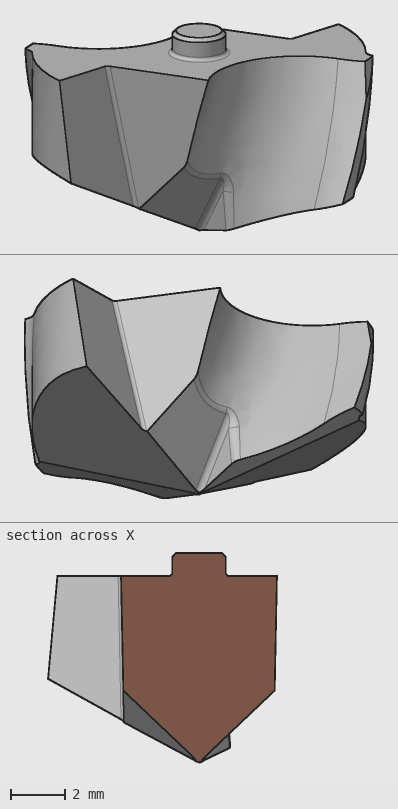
import cadquery as cq
import math

BODY_HEIGHT = 6.91
TWIST_RATE = 5.194
SPAN = 38.7

LAND_RADIUS = 6.18
MARGIN_RADIUS = 6.45
LEADING_ANGLE = 14.7
MARGIN_END_ANGLE = 21.3
LAND_START_ANGLE = 24.8
STEP_POINT = (5.82, 2.4)
FLUTE_RADIUS = 3.4
FLUTE_X = 4.98
FLUTE_Y = -1.94
LIP_POINT = (5.7, 1.51)

PRIMARY_SLOPE = 0.35
PRIMARY_TILT = 0.03
SECONDARY_SLOPE = 0.39
GASH_SLOPE_X = 1.0
GASH_SLOPE_Y = 0.95
GASH_WALL_SLOPE = 0.69
GASH_FILLET = 0.23
EDGE_ROUND = 0.39
WALL_CORNER = (1.65, -1.14, 1.42)

NOTCH_Y = 2.89
NOTCH_LEAN_Y = 0.36
NOTCH_LEAN_Z = 0.2
NOTCH_DRAFT = 0.02
NOTCH_FILLET = 0.17

RELIEF_X = 6.04
RELIEF_WIDTH = 2.7
RELIEF_DEPTH = 9.6

PIN_RADIUS = 0.99
PIN_HEIGHT = 0.85
PIN_EDGE = 0.14


def polar(radius, angle):
    angle = math.radians(angle)
    return (radius * math.cos(angle), radius * math.sin(angle))


def opposite(point):
    return (-point[0], -point[1])


def half_space(normal, origin=(0, 0, 0)):
    """Large block on the side of a plane that the normal points to."""
    plane = cq.Plane(origin=origin, normal=normal)
    return cq.Workplane(plane).rect(SPAN, SPAN).extrude(SPAN)


def cut_both_sides(body, cutter):
    return body.cut(cutter).cut(cutter.rotate((0, 0, 0), (0, 0, 1), 180))


def make_body():
    flute_distance = math.hypot(FLUTE_X, FLUTE_Y)
    flute_angle = math.degrees(math.atan2(FLUTE_Y, FLUTE_X))
    half_opening = math.degrees(math.acos(
        (LAND_RADIUS**2 + flute_distance**2 - FLUTE_RADIUS**2) / (2 * LAND_RADIUS * flute_distance)
    ))
    land_end_angle = 180 + flute_angle - half_opening
    leading = polar(MARGIN_RADIUS, LEADING_ANGLE)
    margin_mid = polar(MARGIN_RADIUS, (LEADING_ANGLE + MARGIN_END_ANGLE) / 2)
    margin_end = polar(MARGIN_RADIUS, MARGIN_END_ANGLE)
    land_start = polar(LAND_RADIUS, LAND_START_ANGLE)
    land_mid = polar(LAND_RADIUS, (LAND_START_ANGLE + land_end_angle) / 2)
    land_end = polar(LAND_RADIUS, land_end_angle)
    flute_mid = (-FLUTE_X + FLUTE_RADIUS, -FLUTE_Y)
    flute_end = (-FLUTE_X, -FLUTE_Y - FLUTE_RADIUS)
    arcs = [
        (margin_mid, margin_end),
        (STEP_POINT, land_start),
        (land_mid, land_end),
        (flute_mid, flute_end),
        (opposite(LIP_POINT), opposite(leading)),
    ]
    profile = cq.Workplane("XY").moveTo(*leading)
    for middle, end in arcs:
        profile = profile.threePointArc(middle, end)
    for middle, end in arcs:
        profile = profile.threePointArc(opposite(middle), opposite(end))
    twist = TWIST_RATE * BODY_HEIGHT
    return profile.close().twistExtrude(BODY_HEIGHT, twist).rotate((0, 0, 0), (0, 0, 1), -twist)


def make_notch():
    floor = half_space((0, 1, -NOTCH_DRAFT), (0, NOTCH_Y, BODY_HEIGHT))
    notch = floor.intersect(half_space((-1, NOTCH_LEAN_Y, NOTCH_LEAN_Z)))
    corner_y = NOTCH_Y - NOTCH_DRAFT * BODY_HEIGHT
    corner = (NOTCH_LEAN_Y * corner_y, corner_y, 0)
    return notch.edges(cq.NearestToPointSelector(corner)).fillet(NOTCH_FILLET)


def make_gash():
    gash = half_space((-GASH_WALL_SLOPE, -1, 0)).intersect(half_space((GASH_SLOPE_X, -GASH_SLOPE_Y, -1)))
    return gash.edges(cq.NearestToPointSelector((0, 0, 0))).fillet(GASH_FILLET)


def make_pin():
    base = BODY_HEIGHT
    top = base + PIN_HEIGHT
    foot = PIN_EDGE * (1 - math.sqrt(0.5))
    return (
        cq.Workplane("XZ")
        .moveTo(0, base - PIN_EDGE)
        .lineTo(PIN_RADIUS + PIN_EDGE, base - PIN_EDGE)
        .lineTo(PIN_RADIUS + PIN_EDGE, base)
        .threePointArc((PIN_RADIUS + foot, base + foot), (PIN_RADIUS, base + PIN_EDGE))
        .lineTo(PIN_RADIUS, top - PIN_EDGE)
        .lineTo(PIN_RADIUS - PIN_EDGE, top)
        .lineTo(0, top)
        .close()
        .revolve(360, (0, 0, 0), (0, 1, 0))
    )


primary = half_space((PRIMARY_SLOPE, PRIMARY_TILT, -1))
secondary = half_space((PRIMARY_SLOPE, SECONDARY_SLOPE, -1))
relief = half_space((RELIEF_DEPTH, 0, RELIEF_WIDTH), (RELIEF_X, 0, BODY_HEIGHT))

result = make_body()
for cutter in (make_notch(), primary, secondary, make_gash(), relief):
    result = cut_both_sides(result, cutter)

for corner in (WALL_CORNER, (*opposite(WALL_CORNER), WALL_CORNER[2])):
    result = result.edges(cq.NearestToPointSelector(corner)).fillet(EDGE_ROUND)
result = result.union(make_pin())